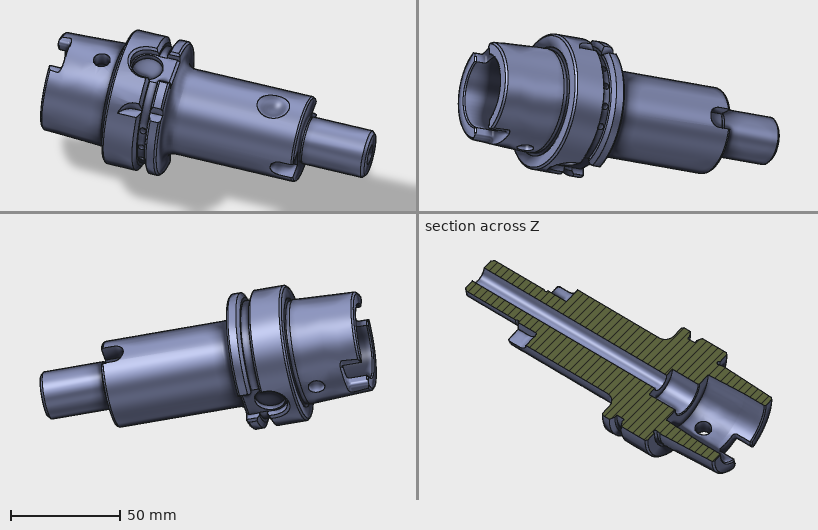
import cadquery as cq
total_length = 151.0
flange_front = 31.9
flange_back = 57.8
body_end = 119.7
flange_width = flange_back - flange_front

mouth_radius = 22.0
taper_start_radius = 23.0
taper_end_radius = 24.3
taper_end = 29.6
mouth_chamfer = 0.9
relief_radius = 24.0
relief_start = taper_end + 1.0
corner_undercut_width = 0.5
corner_undercut_height = 1.4
corner_undercut_depth = 0.6

bore_mouth_radius = 17.5
bore_radius = 17.0
bore_mouth_chamfer = 0.8
bore_straight = 11.8
bore_floor_radius = 16.0
cavity_depth = flange_front
coolant_radius = 8.9
coolant_chamfer = 0.5
coolant_length = 15.1
coolant_end = cavity_depth + coolant_length
through_radius = 4.5

flange_radius = 31.48
flange_chamfer = 0.9
groove_floor_radius = 27.5
groove_step_radius = 29.0
groove_floor_start = 47.9
groove_floor_end = 51.8
groove_flank = 1.4

slot_center = 44.7
slot_radius = 7.9
slot_floor = 26.5
slot_chamfer = 1.2
pocket_radius = 7.1
pocket_depth = 2.5

notch_floor = 19.8
notch_wall = 20.0
rim_hole_radius = 1.5
rim_hole_depth = 4.5
rim_hole_angles = (25, 5, -15, -35)

key_half_width = 6.2
key_flare = 2.3
key_shoulder = 20.7
key_end_fillet = 1.7
key_lead_in = 0.8
top_key_depth = 6.0
bottom_key_depth = 9.7

cross_hole_x = 22.8
cross_hole_radius = 3.8
countersink_start = 23.3
countersink_height = 1.5

body_radius = 20.0
neck_fillet = 5.0
body_chamfer = 0.9
dimple_x = 104.8
dimple_height = 25.0
dimple_radius = 9.0
drive_slot_half_width = 4.8
drive_slot_length = 10.5
drive_slot_floor = 11.5
pilot_radius = 11.0
pilot_chamfer = 1.4
undercut_radius = 10.5
undercut_end = body_end + 0.9
pilot_start = undercut_end + 0.9
undercut_fillet = 0.5


def revolve_about_x(profile):
    return profile.close().revolve(360, (0, 0, 0), (1, 0, 0))


def make_shank():
    return revolve_about_x(
        cq.Workplane("XY")
        .moveTo(0, 0)
        .lineTo(0, mouth_radius)
        .lineTo(mouth_chamfer, taper_start_radius)
        .lineTo(taper_end, taper_end_radius)
        .lineTo(relief_start, relief_radius)
        .lineTo(flange_front, relief_radius)
        .lineTo(flange_front, 0)
    )


def corner_undercut():
    """Rounded relief groove in the corner between the shank and the flange face."""
    neck_edge = (flange_front - corner_undercut_width, relief_radius)
    face_edge = (flange_front, relief_radius + corner_undercut_height)
    return revolve_about_x(
        cq.Workplane("XY")
        .moveTo(*neck_edge)
        .threePointArc((flange_front + corner_undercut_depth, relief_radius), face_edge)
        .lineTo(neck_edge[0], face_edge[1])
    )


def make_body_and_pilot():
    return revolve_about_x(
        cq.Workplane("XY")
        .moveTo(flange_back, 0)
        .lineTo(flange_back, body_radius + neck_fillet)
        .radiusArc((flange_back + neck_fillet, body_radius), -neck_fillet)
        .lineTo(body_end - body_chamfer, body_radius)
        .lineTo(body_end, body_radius - body_chamfer / 2)
        .lineTo(body_end, undercut_radius + undercut_fillet)
        .radiusArc((body_end + undercut_fillet, undercut_radius), -undercut_fillet)
        .lineTo(undercut_end, undercut_radius)
        .lineTo(pilot_start, pilot_radius)
        .lineTo(total_length - pilot_chamfer, pilot_radius)
        .lineTo(total_length, pilot_radius - pilot_chamfer)
        .lineTo(total_length, 0)
    )


def flange_envelope():
    """Turned outline of the flange: chamfered rims and a V-flanked gripper groove."""
    return revolve_about_x(
        cq.Workplane("XY")
        .moveTo(flange_front, 0)
        .lineTo(flange_front, flange_radius - flange_chamfer)
        .lineTo(flange_front + flange_chamfer, flange_radius)
        .lineTo(groove_floor_start - groove_flank, flange_radius)
        .lineTo(groove_floor_start, groove_step_radius)
        .lineTo(groove_floor_start, groove_floor_radius)
        .lineTo(groove_floor_end, groove_floor_radius)
        .lineTo(groove_floor_end, groove_step_radius)
        .lineTo(groove_floor_end + groove_flank, flange_radius)
        .lineTo(flange_back - flange_chamfer, flange_radius)
        .lineTo(flange_back, flange_radius - flange_chamfer)
        .lineTo(flange_back, 0)
    )


def round_ended_cutter(plane, origin, end_radius, length):
    """Milled path along +X on the given plane, with a round end centred at origin."""
    straight = (
        cq.Workplane(plane, origin=origin)
        .center(length / 2, 0)
        .rect(length, 2 * end_radius)
        .extrude(flange_radius)
    )
    round_end = cq.Workplane(plane, origin=origin).circle(end_radius).extrude(flange_radius)
    return straight.union(round_end)


def make_flange():
    disc = cq.Workplane("YZ", origin=(flange_front, 0, 0)).circle(flange_radius).extrude(flange_width)
    slot = round_ended_cutter("XY", (slot_center, 0, slot_floor), slot_radius, flange_width)
    disc = disc.cut(slot).cut(slot.mirror("XY"))

    margin = 1.5
    for side in (1, -1):
        slot_rim = cq.selectors.BoxSelector(
            (flange_front + margin, -slot_radius - margin, side * (slot_floor + margin)),
            (flange_back - slot_chamfer, slot_radius + margin, side * (flange_radius + margin)),
        )
        disc = disc.edges(slot_rim).chamfer(slot_chamfer)
        floor_edge = cq.selectors.NearestToPointSelector((flange_back, 0, side * slot_floor))
        disc = disc.edges(floor_edge).chamfer(slot_chamfer)

    flange = disc.intersect(flange_envelope())
    pocket = (
        cq.Workplane("XY", origin=(slot_center, 0, slot_floor - pocket_depth))
        .circle(pocket_radius)
        .extrude(2 * pocket_depth)
    )
    flange = flange.cut(pocket).cut(pocket.mirror("XY"))
    notch_end = (slot_center, -notch_wall - slot_radius, notch_floor)
    return flange.cut(round_ended_cutter("XY", notch_end, slot_radius, flange_width))


def rim_holes():
    """Row of radial holes in the groove floor on the -Y side."""
    groove_middle = (groove_floor_start + groove_floor_end) / 2
    holes = cq.Workplane("XY")
    for angle in rim_hole_angles:
        hole = (
            cq.Workplane("XZ", origin=(groove_middle, -groove_floor_radius + rim_hole_depth, 0))
            .circle(rim_hole_radius)
            .extrude(2 * rim_hole_depth)
            .rotate((0, 0, 0), (1, 0, 0), -angle)
        )
        holes = holes.add(hole)
    return holes.combine()


def bore_cutter():
    return revolve_about_x(
        cq.Workplane("XY")
        .moveTo(0, 0)
        .lineTo(0, bore_mouth_radius)
        .lineTo(bore_mouth_chamfer, bore_radius)
        .lineTo(bore_straight, bore_radius)
        .lineTo(cavity_depth, bore_floor_radius)
        .lineTo(cavity_depth, coolant_radius + coolant_chamfer)
        .lineTo(cavity_depth + coolant_chamfer, coolant_radius)
        .lineTo(coolant_end, coolant_radius)
        .lineTo(coolant_end, through_radius)
        .lineTo(total_length, through_radius)
        .lineTo(total_length, 0)
    )


def key_slot_cutter(depth):
    """Slot in the mouth on the +Z side, flaring with a rounded edge out to a flat shoulder."""
    flare_bottom = key_shoulder - key_flare
    flare_width = key_half_width + key_flare
    outer_width = flange_radius
    cutter = (
        cq.Workplane("YZ")
        .moveTo(-key_half_width, 0)
        .lineTo(-key_half_width, flare_bottom)
        .radiusArc((-flare_width, key_shoulder), -key_flare)
        .lineTo(-outer_width, key_shoulder)
        .lineTo(-outer_width, flange_radius)
        .lineTo(outer_width, flange_radius)
        .lineTo(outer_width, key_shoulder)
        .lineTo(flare_width, key_shoulder)
        .radiusArc((key_half_width, flare_bottom), -key_flare)
        .lineTo(key_half_width, 0)
        .close()
        .extrude(depth)
    )
    inner_end_edges = cq.selectors.BoxSelector(
        (depth - key_lead_in, -outer_width + key_flare, key_flare),
        (depth + key_lead_in, outer_width - key_flare, key_shoulder + key_flare),
    )
    cutter = cutter.edges(inner_end_edges).fillet(key_end_fillet)
    lead_in = (
        cq.Workplane("XY")
        .moveTo(0, -key_half_width - key_lead_in)
        .lineTo(key_lead_in, -key_half_width)
        .lineTo(key_lead_in, key_half_width)
        .lineTo(0, key_half_width + key_lead_in)
        .close()
        .extrude(flare_bottom)
    )
    return cutter.union(lead_in)


def drive_slot_cutter():
    """Round-ended drive slot at the -Y side of the body end."""
    center_x = body_end - drive_slot_length + drive_slot_half_width
    round_end = (center_x, -drive_slot_floor, 0)
    return round_ended_cutter("XZ", round_end, drive_slot_half_width, drive_slot_length)


def cut_cross_hole(shank):
    """Hole straight through both shank walls, countersunk on the outside."""
    hole = (
        cq.Workplane("XY", origin=(cross_hole_x, 0, -flange_radius))
        .circle(cross_hole_radius)
        .extrude(2 * flange_radius)
    )
    countersink = (
        cq.Workplane("XZ")
        .moveTo(0, countersink_start - cross_hole_radius)
        .lineTo(cross_hole_radius + countersink_height, countersink_start + countersink_height)
        .lineTo(0, countersink_start + countersink_height)
        .close()
        .revolve(360, (0, 0, 0), (0, 1, 0))
        .translate((cross_hole_x, 0, 0))
    )
    return shank.cut(hole).cut(countersink).cut(countersink.mirror("XY"))


def dimple_cutter():
    """Ball that leaves a shallow dimple in the top of the body."""
    return cq.Workplane("XY", origin=(dimple_x, 0, dimple_height)).sphere(dimple_radius)


part = cut_cross_hole(make_shank()).union(make_flange()).union(make_body_and_pilot())

drive_slot = drive_slot_cutter()
part = part.cut(drive_slot).cut(drive_slot.mirror("XZ"))
part = part.cut(dimple_cutter())
part = part.cut(corner_undercut())
part = part.cut(rim_holes())
part = part.cut(bore_cutter())
part = part.cut(key_slot_cutter(top_key_depth))
result = part.cut(key_slot_cutter(bottom_key_depth).mirror("XY"))